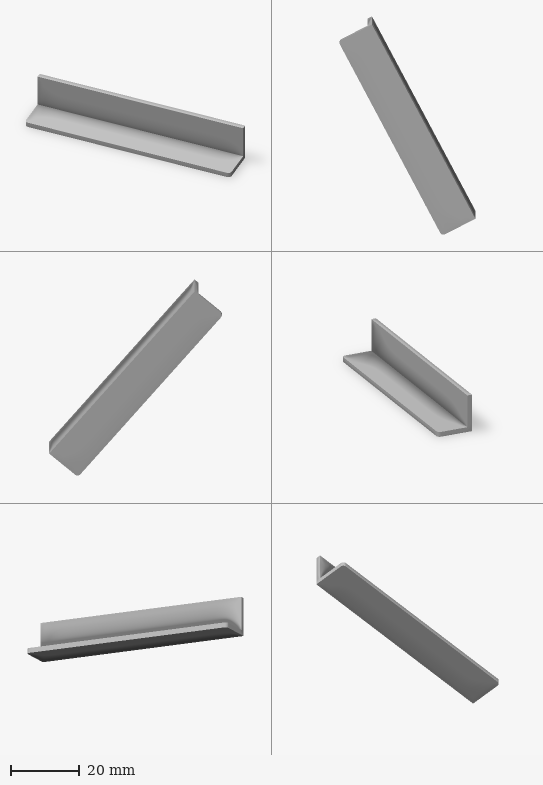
import cadquery as cq

length = 65.25
flange_depth = 11.0
wall_height = 11.5
thickness = 1.5
corner_radius = 1.05

flange = (
    cq.Workplane("XY")
    .box(length, flange_depth, thickness, centered=False)
    .edges("|Z and <Y")
    .fillet(corner_radius)
)

wall = (
    cq.Workplane("XY")
    .box(length, thickness, wall_height, centered=False)
    .translate((0, flange_depth - thickness, 0))
)

result = flange.union(wall)